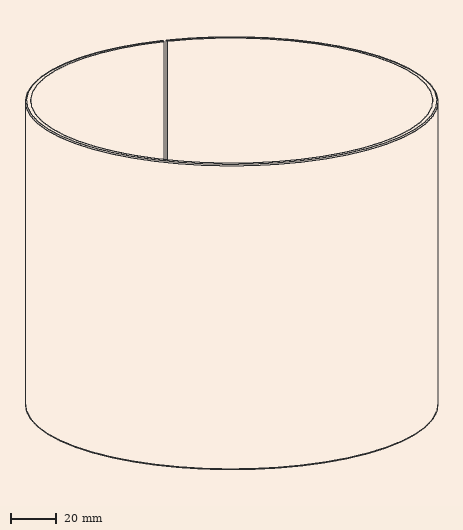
import cadquery as cq

outer_diameter = 180.0
height = 140.0
wall = 2.3
rim_chamfer = 0.5
slit_width = 1.6

outer_radius = outer_diameter / 2

sleeve = (
    cq.Workplane("XY")
    .circle(outer_radius)
    .extrude(height)
    .edges("%CIRCLE")
    .chamfer(rim_chamfer)
    .cut(cq.Workplane("XY").circle(outer_radius - wall).extrude(height))
)

slit = (
    cq.Workplane("XY")
    .center(-outer_radius, slit_width / 2)
    .rect(outer_radius, slit_width)
    .extrude(height)
)

result = sleeve.cut(slit)